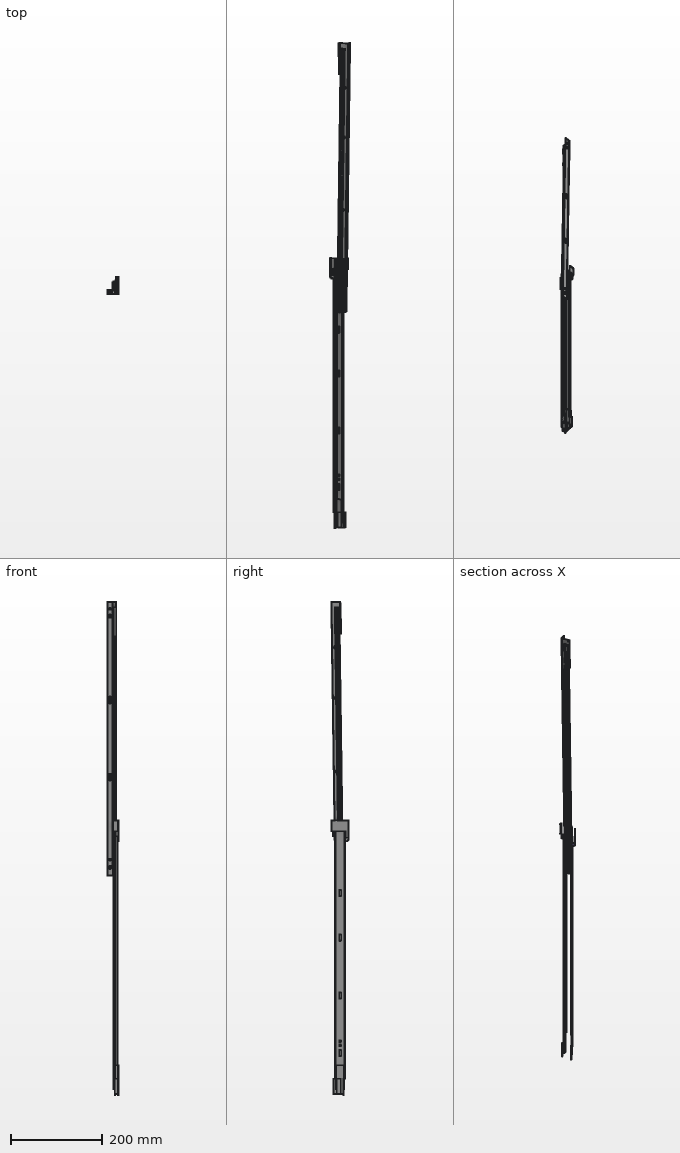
import cadquery as cq
import math

total_width = 24.3
total_depth = 38.87
total_height = 1081.04
sheet = 1.2

tilt_angle = 0.81
arm_length = 600.0
web_length = 580.0
flange_width = 12.0
web_height = 18.1
web_tab_height = 20.5
web_tab_length = 29.0
web_tab_end_x = 19.2
flange_hole_diameter = 4.0
flange_hole_x = 5.6
flange_hole_depths = (15.0, 565.0)
flange_slots = ((31.0, 7.0), (215.0, 15.0), (384.0, 15.0), (582.0, 7.0))
web_holes = ((8.2, 99.5), (8.2, 210.3), (8.2, 372.0), (8.2, 555.0))
web_hole_diameter = 6.0

slide_low_y = 8.0
slide_high_y = 15.5
slide_step_x = 17.0
slide_outer_x = 19.3
slide_top_depth = 12.0
slide_foot_x = 14.0
slide_foot_overhang = 0.5
slide_step = 1.0
slide_plain_length = 75.0
ear_start = 31.0
ear_end = 70.0
ear_width = 3.0

rail_centre_y = 19.5
outer_rail_depth = 22.5
outer_rail_front_x = 17.0
outer_rail_back_x = 22.8
middle_rail_depth = 18.0
middle_rail_front_x = 13.0
rail_clearance = 0.4
middle_rail_back_x = outer_rail_back_x - sheet - rail_clearance
lip_opening = 11.0
rail_bottom_z = 65.0
middle_rail_top_z = 600.0
floor_slot_length = 15.0
floor_slot_width = 4.5
floor_slot_heights = (443.0, 345.0, 218.0, 92.0)
floor_hole_heights = (118.0, 109.0)

bracket_top_z = 602.0
bracket_bottom_z = 578.0
bracket_front_x = 18.7
low_leg_front_x = 12.6
high_wing_bottom_z = 556.0
high_wing_taper = 8.0
low_wing_y = 4.0
low_wing_bottom_z = 567.0

foot_low_y = 4.7
foot_high_y = 28.2
foot_front_x = 15.8
foot_top_z = 36.0
foot_bottom_z = 2.2
foot_spur_width = 1.8
foot_rib_low_y = 12.2
foot_rib_high_y = 20.6
foot_rib_height = 1.5
foot_tongue_bottom_z = 13.0


def block(x0, x1, y0, y1, z0, z1):
    return cq.Workplane("XY").box(x1 - x0, y1 - y0, z1 - z0, centered=False).translate((x0, y0, z0))


def channel(front_x, back_x, low_y, high_y, z0, z1):
    """U channel open towards -X, with its floor at back_x."""
    body = block(front_x, back_x, low_y, high_y, z0, z1)
    return body.cut(block(front_x, back_x - sheet, low_y + sheet, high_y - sheet, z0, z1))


def side_slot(length, width, y, z):
    """Cutter along X: a slot upright in Z, or a round hole when length equals width."""
    plane = cq.Workplane("YZ").center(y, z)
    outline = plane.slot2D(length, width, 90) if length > width else plane.circle(width / 2)
    return outline.extrude(total_width)


def flange_slot(length, depth):
    """Cutter through the flange at a distance below the arm's upper end."""
    outline = cq.Workplane("XZ").center(flange_hole_x, -depth)
    if length > flange_hole_diameter:
        outline = outline.slot2D(length, flange_hole_diameter, 90)
    else:
        outline = outline.circle(flange_hole_diameter / 2)
    return outline.extrude(sheet * 2, both=True)


def web_cutters():
    diameter = web_hole_diameter
    return [side_slot(diameter, diameter, y, -depth) for y, depth in web_holes]


def place_arm(body):
    """Lean a body built below the origin, keeping its highest corner at the total height."""
    corner_rise = web_tab_height * math.sin(math.radians(tilt_angle))
    leaning = body.rotate((0, 0, 0), (1, 0, 0), tilt_angle)
    return leaning.translate((0, 0, total_height - corner_rise))


def make_angle_bar():
    bar = block(0, flange_width, 0, sheet, -arm_length, 0)
    bar = bar.union(block(flange_width - sheet, flange_width, 0, web_height, -web_length, 0))
    bar = bar.union(block(flange_width - sheet, flange_width, 0, web_tab_height, -web_tab_length, 0))
    bar = bar.union(block(
        flange_width, web_tab_end_x, web_tab_height - sheet, web_tab_height, -web_tab_length, 0
    ))
    for depth in flange_hole_depths:
        bar = bar.cut(flange_slot(flange_hole_diameter, depth))
    for depth, length in flange_slots:
        bar = bar.cut(flange_slot(length, depth))
    for cutter in web_cutters():
        bar = bar.cut(cutter)
    return place_arm(bar)


def make_slide_rail():
    rail = block(flange_width, slide_outer_x, slide_low_y, slide_high_y, -arm_length, -slide_top_depth)
    for y in (slide_low_y, slide_high_y - slide_step):
        rail = rail.cut(
            block(slide_step_x, slide_outer_x, y, y + slide_step, -arm_length, -slide_plain_length)
        )
    rail = rail.union(block(
        flange_width, slide_foot_x, slide_low_y - slide_foot_overhang, slide_high_y + slide_foot_overhang,
        -arm_length, -slide_top_depth,
    ))
    hollow_low_y = slide_low_y + slide_step + sheet
    hollow_high_y = slide_high_y - slide_step - sheet
    rail = rail.cut(block(flange_width + sheet, slide_outer_x, hollow_low_y, hollow_high_y, -arm_length, 0))
    ear_high_y = web_height + ear_width
    ear_x = flange_width + sheet
    rail = rail.union(block(flange_width, ear_x, slide_high_y - sheet, ear_high_y, -ear_end, -ear_start))
    hollow = block(0, total_width, hollow_low_y, hollow_high_y, -arm_length, 0)
    for cutter in web_cutters():
        rail = rail.cut(cutter.intersect(hollow))
    return place_arm(rail)


def rail_section(front_x, back_x, depth, z0, z1):
    return channel(front_x, back_x, rail_centre_y - depth / 2, rail_centre_y + depth / 2, z0, z1)


def cut_floor_openings(rail):
    for z in floor_slot_heights:
        rail = rail.cut(side_slot(floor_slot_length, floor_slot_width, rail_centre_y, z))
    for z in floor_hole_heights:
        rail = rail.cut(side_slot(floor_slot_width, floor_slot_width, rail_centre_y, z))
    return rail


def make_outer_rail():
    return rail_section(
        outer_rail_front_x, outer_rail_back_x, outer_rail_depth, rail_bottom_z, bracket_bottom_z
    )


def make_middle_rail():
    rail = rail_section(
        middle_rail_front_x, middle_rail_back_x, middle_rail_depth, rail_bottom_z, middle_rail_top_z
    )
    lip_width = (middle_rail_depth - lip_opening) / 2
    for low_y in (rail_centre_y - middle_rail_depth / 2, rail_centre_y + lip_opening / 2):
        rail = rail.union(block(
            middle_rail_front_x, middle_rail_front_x + sheet,
            low_y, low_y + lip_width, rail_bottom_z, middle_rail_top_z,
        ))
    return cut_floor_openings(rail)


def make_top_bracket():
    rail_low_y = rail_centre_y - outer_rail_depth / 2
    rail_high_y = rail_centre_y + outer_rail_depth / 2
    bracket = channel(bracket_front_x, total_width, 0, total_depth, bracket_bottom_z, bracket_top_z)
    low_leg = block(low_leg_front_x, total_width, 0, sheet, bracket_bottom_z, bracket_top_z)
    high_wing = block(
        bracket_front_x, total_width, rail_high_y, total_depth, high_wing_bottom_z, bracket_bottom_z
    )
    high_wing = high_wing.edges("|X and >Y and <Z").chamfer(high_wing_taper / 2)
    high_wing = high_wing.cut(block(
        bracket_front_x, total_width - sheet, rail_high_y + sheet, total_depth - sheet,
        high_wing_bottom_z + high_wing_taper, bracket_bottom_z,
    ))
    low_wing = block(
        bracket_front_x, total_width, low_wing_y, rail_low_y, low_wing_bottom_z, bracket_bottom_z
    )
    return bracket.union(low_leg).union(high_wing).union(low_wing)


def make_end_foot():
    foot = rail_section(outer_rail_front_x, total_width, outer_rail_depth, foot_top_z, rail_bottom_z)
    tongue = rail_section(
        middle_rail_front_x, total_width, middle_rail_depth, foot_tongue_bottom_z, rail_bottom_z
    )
    foot = foot.union(tongue)
    foot = foot.union(
        channel(foot_front_x, total_width, foot_low_y, foot_high_y, foot_bottom_z, foot_top_z)
    )
    floor_x = total_width - sheet
    foot = foot.union(block(
        floor_x - foot_rib_height, floor_x, foot_rib_low_y, foot_rib_high_y, foot_bottom_z, foot_top_z
    ))
    for spur_x in (foot_front_x, total_width - foot_spur_width):
        foot = foot.union(block(
            spur_x, spur_x + foot_spur_width, foot_high_y - sheet, foot_high_y, 0, foot_bottom_z
        ))
    return foot


angle_bar = make_angle_bar()
slide_rail = make_slide_rail()
outer_rail = make_outer_rail()
middle_rail = make_middle_rail()
top_bracket = make_top_bracket()
end_foot = make_end_foot()

result = cq.Compound.makeCompound([
    angle_bar.val(),
    slide_rail.val(),
    outer_rail.val(),
    middle_rail.val(),
    top_bracket.val(),
    end_foot.val(),
])